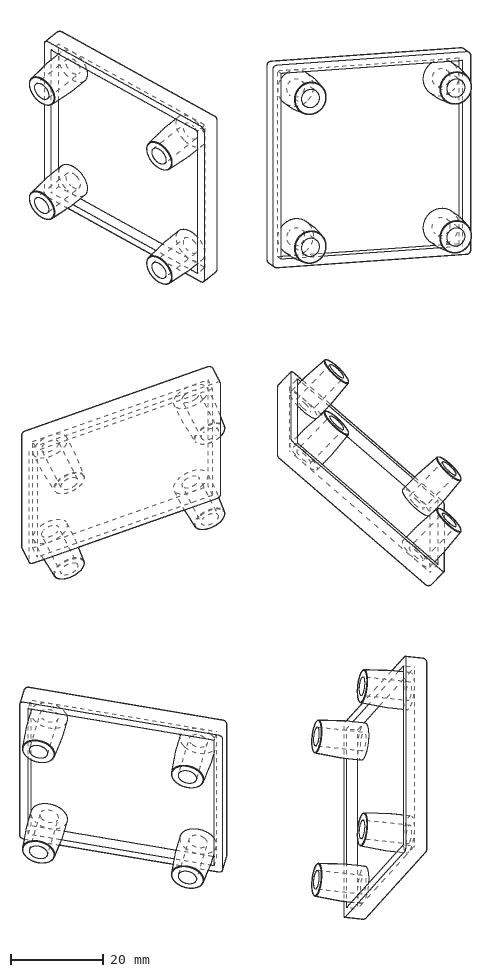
import cadquery as cq

plate_side = 45.0
plate_thickness = 5.0
corner_radius = 1.0
wall_thickness = 1.9
pocket_depth = 2.5

overall_depth = 13.1
peg_spacing = 33.05
peg_base_radius = 4.05
peg_tip_radius = 3.6
peg_straight_length = 2.15
peg_tip_chamfer = 0.15
bore_radius = 2.02

peg_tip_y = plate_thickness - overall_depth
floor_y = pocket_depth


def make_plate():
    plate = cq.Workplane("XY").box(
        plate_side, plate_thickness, plate_side, centered=(True, False, True)
    )
    plate = plate.edges("|Y").fillet(corner_radius)
    plate = plate.faces(">Y").edges().fillet(corner_radius)
    pocket_side = plate_side - 2 * wall_thickness
    pocket = cq.Workplane("XY").box(
        pocket_side, pocket_depth, pocket_side, centered=(True, False, True)
    )
    return plate.cut(pocket)


def make_peg():
    """Hollow peg revolved about Y: straight base, tapered body, chamfered tip."""
    return (
        cq.Workplane("XY")
        .moveTo(bore_radius, floor_y)
        .lineTo(peg_base_radius, floor_y)
        .lineTo(peg_base_radius, -peg_straight_length)
        .lineTo(peg_tip_radius, peg_tip_y + peg_tip_chamfer)
        .lineTo(peg_tip_radius - peg_tip_chamfer, peg_tip_y)
        .lineTo(bore_radius, peg_tip_y)
        .close()
        .revolve(360, (0, 0, 0), (0, 1, 0))
    )


result = make_plate()
peg = make_peg()
for x_side in (-1, 1):
    for z_side in (-1, 1):
        peg_position = (x_side * peg_spacing / 2, 0, z_side * peg_spacing / 2)
        result = result.union(peg.translate(peg_position))